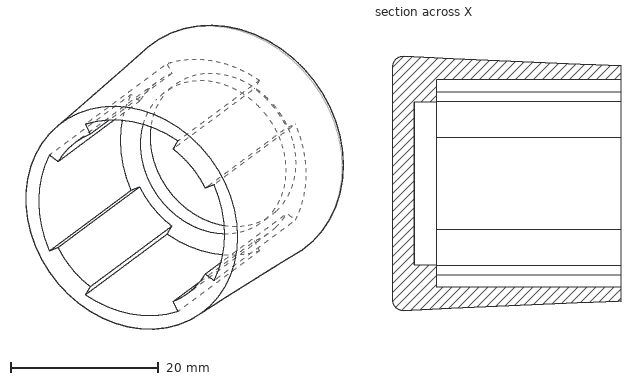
import cadquery as cq
import math

length = 31.0
open_end_radius = 16.0
draft_angle = 2.5
closed_end_radius = open_end_radius + length * math.tan(math.radians(draft_angle))
rim_fillet = 1.5

land_radius = 12.75
socket_depth = 25.0
groove_count = 4
groove_angle = 58.7
groove_reach = 14.02
groove_floor_radius = 16.0

recess_radius = 11.0
end_wall = 3.0
recess_depth = length - end_wall


def bore(radius, depth):
    """Cylinder reaching from the open end into the cap."""
    return cq.Workplane("XZ").circle(radius).extrude(-depth)


def make_body():
    """Solid of revolution with drafted side and rounded closed end."""
    half_section = [
        (0, 0),
        (open_end_radius, 0),
        (closed_end_radius, length),
        (0, length),
    ]
    body = cq.Workplane("XY").polyline(half_section).close().revolve(360, (0, 0, 0), (0, 1, 0))
    return body.faces(">Y").edges().fillet(rim_fillet)


def make_groove(direction):
    """Sector with radial sides and an off-centre arc floor, running the whole socket depth."""
    half_angle = math.radians(groove_angle / 2)
    center_offset = groove_floor_radius - groove_reach
    corner_distance = (
        math.sqrt(groove_floor_radius**2 - (center_offset * math.sin(half_angle)) ** 2)
        - center_offset * math.cos(half_angle)
    )
    corner_x = corner_distance * math.cos(half_angle)
    corner_z = corner_distance * math.sin(half_angle)
    groove = (
        cq.Workplane("XZ")
        .moveTo(0, 0)
        .lineTo(corner_x, -corner_z)
        .threePointArc((groove_reach, 0), (corner_x, corner_z))
        .close()
        .extrude(-socket_depth)
    )
    return groove.rotate((0, 0, 0), (0, 1, 0), direction)


result = make_body().cut(bore(land_radius, socket_depth))
for index in range(groove_count):
    result = result.cut(make_groove(index * 360 / groove_count))
result = result.cut(bore(recess_radius, recess_depth))